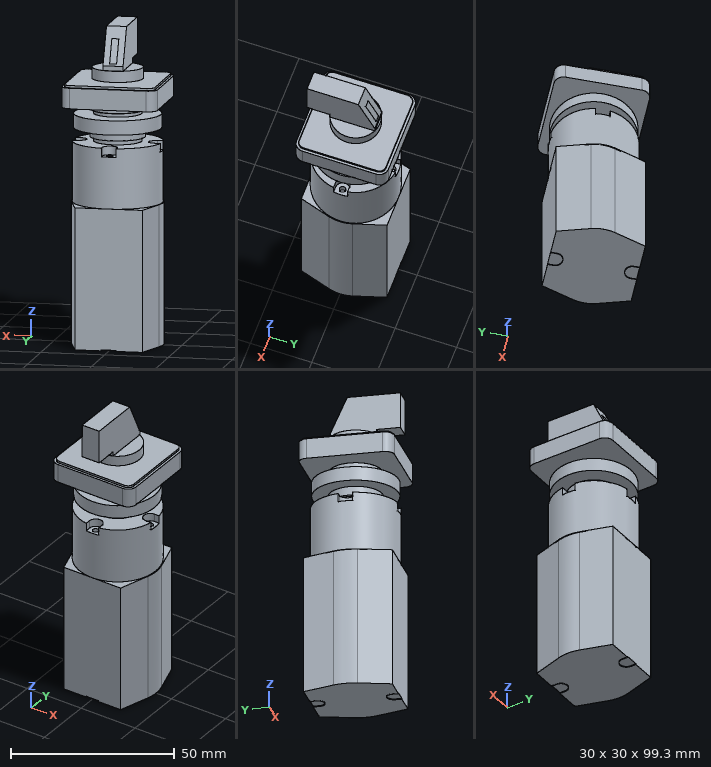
import cadquery as cq
import math

block_top = 44.4
housing_top = 63.3
collar_bottom = 64.6
ring_bottom = 67.4
ring_top = 71.9
neck_bottom = 73.1
plate_bottom = 75.4
plate_ledge = 81.8
plate_top = 82.5
disc_bottom = 82.8
disc_top = 86.3
grip_underside = 87.8
overall_height = 99.3

housing_radius = 14.0
block_half_length = 14.3
block_crown_radius = 12.9
block_flat_width = 21.2
slot_count = 4
slot_width = 4.6
slot_depth = 2.7
slot_centre_radius = 12.0
slot_reach = 3.0
screw_hole_diameter = 2.0
screw_hole_depth = 2.0
base_slot_depth = 0.3

shaft_radius = 7.4
collar_radius = 8.5
ring_radius = 13.6
neck_radius = 8.2

plate_side = 30.0
plate_corner_radius = 3.0
plate_ledge_width = 0.84

disc_radius = 7.9
stem_radius = 4.0
grip_width = 6.4
grip_back = 7.3
grip_slope_top = 2.0
grip_heel = -7.3
grip_tip = -14.8

pointer_width = 2.2
pointer_low_y = 7.05
pointer_high_y = 3.7
pointer_thickness = 0.5


def cylinder(radius, bottom, top):
    return cq.Workplane("XY").workplane(offset=bottom).circle(radius).extrude(top - bottom)


def rounded_square(side, corner_radius, bottom, top):
    slab = cq.Workplane("XY").workplane(offset=bottom).rect(side, side).extrude(top - bottom)
    return slab.edges("|Z").fillet(corner_radius)


def edge_slot(bottom, depth):
    """Round-ended slot at +X that opens outward past the side of the housing."""
    channel = (
        cq.Workplane("XY").workplane(offset=bottom)
        .center(slot_centre_radius + slot_reach / 2, 0)
        .rect(slot_reach, slot_width).extrude(depth)
    )
    round_end = (
        cq.Workplane("XY").workplane(offset=bottom)
        .center(slot_centre_radius, 0)
        .circle(slot_width / 2).extrude(depth)
    )
    return channel.union(round_end)


def turned(shape, angle):
    return shape.rotate((0, 0, 0), (0, 0, 1), angle)


def make_block():
    """Prism with flat ±Y faces and ±X sides that slope into a tangent crown arc."""
    corner_x = block_flat_width / 2
    corner_y = housing_radius
    arc_centre_x = block_half_length - block_crown_radius
    run = corner_x - arc_centre_x
    tangent_angle = math.atan2(corner_y, run) - math.acos(block_crown_radius / math.hypot(run, corner_y))
    tangent_x = arc_centre_x + block_crown_radius * math.cos(tangent_angle)
    tangent_y = block_crown_radius * math.sin(tangent_angle)
    return (
        cq.Workplane("XY")
        .moveTo(-corner_x, -corner_y)
        .lineTo(corner_x, -corner_y)
        .lineTo(tangent_x, -tangent_y)
        .threePointArc((block_half_length, 0), (tangent_x, tangent_y))
        .lineTo(corner_x, corner_y)
        .lineTo(-corner_x, corner_y)
        .lineTo(-tangent_x, tangent_y)
        .threePointArc((-block_half_length, 0), (-tangent_x, -tangent_y))
        .close()
        .extrude(block_top)
    )


def make_housing():
    body = make_block().union(cylinder(housing_radius, block_top, housing_top))
    slot_floor = housing_top - slot_depth
    top_slot = edge_slot(slot_floor, slot_depth)
    screw_hole = cylinder(screw_hole_diameter / 2, slot_floor - screw_hole_depth, slot_floor)
    screw_hole = screw_hole.translate((slot_centre_radius, 0, 0))
    for index in range(slot_count):
        angle = index * 360 / slot_count
        body = body.cut(turned(top_slot, angle)).cut(turned(screw_hole, angle))
    base_slot = edge_slot(0, base_slot_depth)
    for angle in (90, -90):
        body = body.cut(turned(base_slot, angle))
    return body


def make_barrel():
    """Turned shaft with a collar, a clamping ring and a neck under the plate."""
    return (
        cylinder(shaft_radius, housing_top, plate_bottom)
        .union(cylinder(collar_radius, collar_bottom, ring_bottom))
        .union(cylinder(ring_radius, ring_bottom, ring_top))
        .union(cylinder(neck_radius, neck_bottom, plate_bottom))
    )


def make_plate():
    base = rounded_square(plate_side, plate_corner_radius, plate_bottom, plate_ledge)
    raised_face = rounded_square(
        plate_side - 2 * plate_ledge_width,
        plate_corner_radius - plate_ledge_width,
        plate_ledge,
        plate_top,
    )
    return base.union(raised_face)


def side_profile(points, width):
    """Solid with the given (Y, Z) outline, centred on X = 0."""
    return cq.Workplane("YZ").polyline(points).close().extrude(width / 2, both=True)


def make_pointer():
    slope_run = grip_back - grip_slope_top
    slope_rise = overall_height - grip_underside
    slope_length = math.hypot(slope_run, slope_rise)
    inward_y = -pointer_thickness * slope_rise / slope_length
    inward_z = -pointer_thickness * slope_run / slope_length
    low_z = grip_underside + (grip_back - pointer_low_y) * slope_rise / slope_run
    high_z = grip_underside + (grip_back - pointer_high_y) * slope_rise / slope_run
    outline = [
        (pointer_low_y, low_z),
        (pointer_high_y, high_z),
        (pointer_high_y + inward_y, high_z + inward_z),
        (pointer_low_y + inward_y, low_z + inward_z),
    ]
    return side_profile(outline, pointer_width)


def make_knob(pointer):
    """Disc on a short stem with an overhanging grip; the pointer sits in a recess of the grip."""
    grip_outline = [
        (grip_back, disc_top),
        (grip_back, grip_underside),
        (grip_slope_top, overall_height),
        (grip_tip, overall_height),
        (grip_tip, grip_underside),
        (grip_heel, grip_underside),
        (grip_heel, disc_top),
    ]
    return (
        cylinder(stem_radius, plate_top, disc_bottom)
        .union(cylinder(disc_radius, disc_bottom, disc_top))
        .union(side_profile(grip_outline, grip_width))
        .cut(pointer)
    )


housing = make_housing()
barrel = make_barrel()
plate = make_plate()
pointer = make_pointer()
knob = make_knob(pointer)

result = cq.Compound.makeCompound([
    housing.val(),
    barrel.val(),
    plate.val(),
    pointer.val(),
    knob.val(),
])